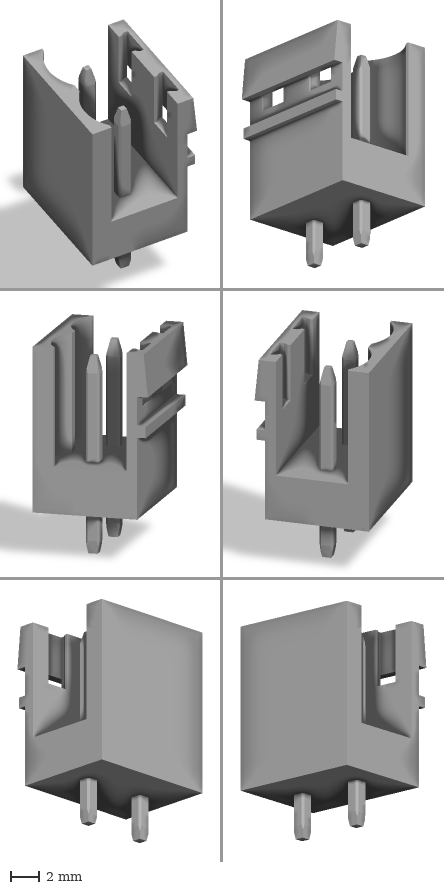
import cadquery as cq


width = 9.95
base_z = 3.2
top_z = 15.2
floor_z = 6.61
front_wall = 1.55
cavity_depth = 5.32
back_inner_y = front_wall + cavity_depth
back_wall = 0.79
back_outer_y = back_inner_y + back_wall

latch_y = 8.44
latch_top_y = 8.13
latch_z = top_z - 3.1
tab_y = 8.28
tab_top_z = 9.94
tab_bottom_z = 9.15
tab_fillet = 0.09

pitch = 5.08
pole_count = 2
pole_xs = [(i - (pole_count - 1) / 2) * pitch for i in range(pole_count)]

slot_mouth = 1.85
slot_width = 2.33
slot_lip = 0.21
slot_flare = 0.33
slot_depth = 0.84
slot_height = 4.16

scallop_width = 4.32
scallop_depth = 0.79

pin_y = 3.8
pin_size = 1.0
pin_chamfer = 0.15
pin_top_z = 14.3
upper_taper = 1.23
upper_tip = 0.44
lower_taper = 0.95
lower_tip = 0.67


def make_slot(x):
    """Dovetail slot, open at the top and towards the cavity."""
    half_mouth = slot_mouth / 2
    half_width = slot_width / 2
    lip_y = back_inner_y + slot_lip
    flare_y = lip_y + slot_flare
    slot_y = back_inner_y + slot_depth
    return (
        cq.Workplane("XY", origin=(x, 0, top_z - slot_height))
        .moveTo(-half_mouth, back_inner_y)
        .lineTo(-half_mouth, lip_y)
        .lineTo(-half_width, flare_y)
        .lineTo(-half_width, slot_y)
        .lineTo(half_width, slot_y)
        .lineTo(half_width, flare_y)
        .lineTo(half_mouth, lip_y)
        .lineTo(half_mouth, back_inner_y)
        .close()
        .extrude(slot_height)
    )


def make_scallop(x):
    """Arc-shaped relief in the inner face of the front wall, down to the floor."""
    return (
        cq.Workplane("XY", origin=(x, front_wall, floor_z))
        .moveTo(-scallop_width / 2, 0)
        .threePointArc((0, -scallop_depth), (scallop_width / 2, 0))
        .close()
        .extrude(top_z - floor_z)
    )


def make_pin_blank(x):
    """Square pin with chamfered long edges, before the tips are tapered."""
    return (
        cq.Workplane("XY", origin=(x, pin_y, 0))
        .rect(pin_size, pin_size)
        .extrude(pin_top_z)
        .edges("|Z")
        .chamfer(pin_chamfer)
    )


def make_pin_envelope(x):
    """Square bar tapering to a flat tip at both ends."""
    lower_end = (
        cq.Workplane("XY", origin=(x, pin_y, 0))
        .rect(lower_tip, lower_tip)
        .workplane(offset=lower_taper)
        .rect(pin_size, pin_size)
        .loft(ruled=True)
    )
    shank = (
        cq.Workplane("XY", origin=(x, pin_y, lower_taper))
        .rect(pin_size, pin_size)
        .extrude(pin_top_z - lower_taper - upper_taper)
    )
    upper_end = (
        cq.Workplane("XY", origin=(x, pin_y, pin_top_z - upper_taper))
        .rect(pin_size, pin_size)
        .workplane(offset=upper_taper)
        .rect(upper_tip, upper_tip)
        .loft(ruled=True)
    )
    return lower_end.union(shank).union(upper_end)


def make_pin(x):
    return make_pin_blank(x).intersect(make_pin_envelope(x))


def make_housing():
    housing = (
        cq.Workplane("YZ", origin=(-width / 2, 0, 0))
        .moveTo(0, base_z)
        .lineTo(back_outer_y, base_z)
        .lineTo(back_outer_y, tab_bottom_z)
        .lineTo(tab_y, tab_bottom_z)
        .lineTo(tab_y, tab_top_z)
        .lineTo(back_outer_y, tab_top_z)
        .lineTo(back_outer_y, latch_z)
        .lineTo(latch_y, latch_z)
        .lineTo(latch_top_y, top_z)
        .lineTo(back_inner_y, top_z)
        .lineTo(back_inner_y, floor_z)
        .lineTo(front_wall, floor_z)
        .lineTo(front_wall, top_z)
        .lineTo(0, top_z)
        .close()
        .extrude(width)
    )

    for z in (tab_bottom_z, tab_top_z):
        root = cq.selectors.NearestToPointSelector((0, back_outer_y, z))
        housing = housing.edges("|X").edges(root).fillet(tab_fillet)

    for x in pole_xs:
        housing = housing.cut(make_slot(x)).cut(make_scallop(x))
        housing = housing.cut(make_pin_blank(x))
    return housing


housing = make_housing()
pins = [make_pin(x) for x in pole_xs]
result = cq.Compound.makeCompound([housing.val(), *[pin.val() for pin in pins]])